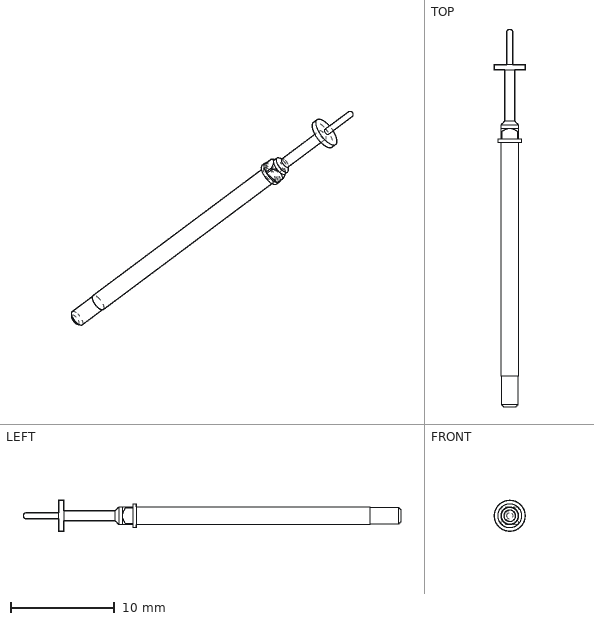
import cadquery as cq

DISC_FRONT = 3.4
DISC_THICKNESS = 0.5
BARREL_FRONT = 8.85
SQUARE_FRONT = 9.55
COLLAR_FRONT = 10.55
COLLAR_THICKNESS = 0.35
TAIL_LENGTH = 3.0
TOTAL_LENGTH = 36.4
TAIL_FRONT = TOTAL_LENGTH - TAIL_LENGTH

PIN_DIAMETER = 0.6
DISC_DIAMETER = 3.0
PLUNGER_DIAMETER = 1.0
BARREL_DIAMETER = 1.7
COLLAR_DIAMETER = 2.3
TAIL_DIAMETER = 1.62

SQUARE_WIDTH = BARREL_DIAMETER
SQUARE_CORNER_DIAMETER = 2.26

PIN_TIP_RADIUS = 0.28
BARREL_CHAMFER = (BARREL_DIAMETER - PLUNGER_DIAMETER) / 2
SQUARE_CHAMFER = (SQUARE_CORNER_DIAMETER - BARREL_DIAMETER) / 2
TAIL_CHAMFER = 0.25


def axis_plane(station):
    """Workplane across the Y axis whose normal points rearwards."""
    return cq.Workplane("XZ", origin=(0, -station, 0))


def cylinder(front, rear, diameter):
    """Cylinder on the Y axis between two stations."""
    return axis_plane(front).circle(diameter / 2).extrude(rear - front)


def make_plunger():
    """Thin pin with a rounded tip, a disc, and the stem that enters the barrel."""
    disc_rear = DISC_FRONT + DISC_THICKNESS
    pin = cylinder(0, disc_rear, PIN_DIAMETER).faces(">Y").edges().fillet(PIN_TIP_RADIUS)
    disc = cylinder(DISC_FRONT, disc_rear, DISC_DIAMETER)
    stem = cylinder(DISC_FRONT, SQUARE_FRONT, PLUNGER_DIAMETER)
    return pin.union(disc).union(stem)


def make_barrel():
    """Long barrel, coned down to the stem in front, with a slimmer tail behind."""
    barrel = cylinder(BARREL_FRONT, TAIL_FRONT, BARREL_DIAMETER)
    barrel = barrel.faces(">Y").chamfer(BARREL_CHAMFER)
    tail = cylinder(TAIL_FRONT, TOTAL_LENGTH, TAIL_DIAMETER)
    tail = tail.faces("<Y").chamfer(TAIL_CHAMFER)
    return barrel.union(tail)


def make_square():
    """Square section whose corners are turned down and chamfered at the front."""
    length = COLLAR_FRONT - SQUARE_FRONT
    square = axis_plane(SQUARE_FRONT).rect(SQUARE_WIDTH, SQUARE_WIDTH).extrude(length)
    turned = cylinder(SQUARE_FRONT, COLLAR_FRONT, SQUARE_CORNER_DIAMETER)
    turned = turned.faces(">Y").chamfer(SQUARE_CHAMFER)
    return square.intersect(turned)


def make_collar():
    return cylinder(COLLAR_FRONT, COLLAR_FRONT + COLLAR_THICKNESS, COLLAR_DIAMETER)


result = make_plunger().union(make_barrel()).union(make_square()).union(make_collar())